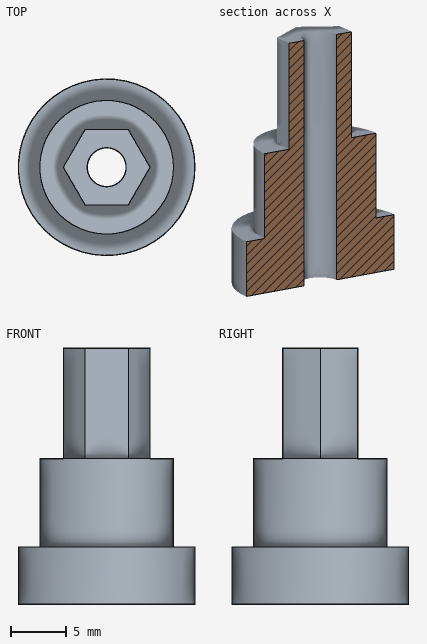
import cadquery as cq
import math

flange_diameter = 16.0
flange_height = 5.2
shoulder_diameter = 12.1
shoulder_height = 8.0
hex_across_flats = 6.8
hex_height = 10.0
bore_diameter = 3.5

hex_sides = 6
hex_across_corners = hex_across_flats / math.cos(math.pi / hex_sides)


def add_round_step(body, diameter, height):
    """Stack a cylinder on the top face of the body."""
    return body.faces(">Z").workplane().circle(diameter / 2).extrude(height)


def add_hex_shank(body):
    """Stack the hexagonal shank, with two corners on the X axis."""
    return body.faces(">Z").workplane().polygon(hex_sides, hex_across_corners).extrude(hex_height)


def cut_bore(body):
    """Drill the axial bore through the full height."""
    return body.faces(">Z").workplane().hole(bore_diameter)


flange = cq.Workplane("XY").circle(flange_diameter / 2).extrude(flange_height)
stepped_body = add_round_step(flange, shoulder_diameter, shoulder_height)
shank_body = add_hex_shank(stepped_body)
result = cut_bore(shank_body)